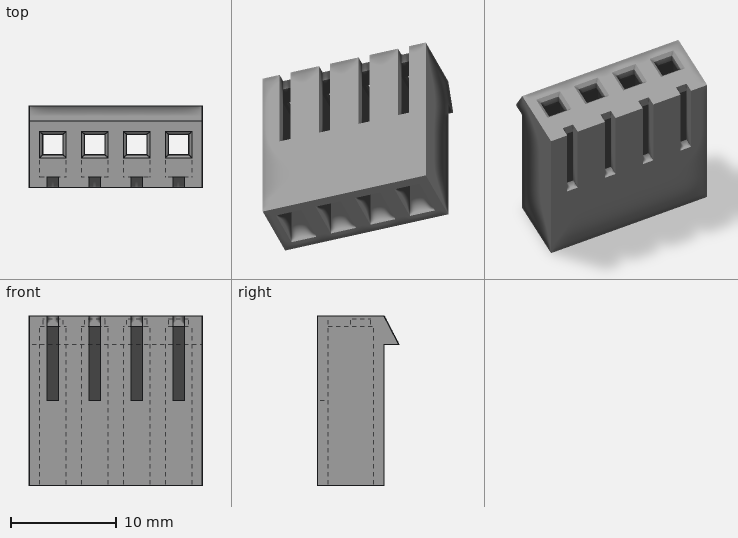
import cadquery as cq

width = 16.35
height = 16.0
total_depth = 7.7

latch_overhang = 1.4
latch_height = 2.71
body_depth = total_depth - latch_overhang

contact_count = 4
contact_pitch = 3.95
first_contact_x = -contact_pitch * (contact_count - 1) / 2

wall_thickness = 1.0

entry_size = 2.5
throat_size = 1.9
entry_depth = (entry_size - throat_size) / 2
entry_y = 4.05

slot_width = 1.1
slot_length = height / 2

cavity_width = entry_size
cavity_back_y = entry_y + entry_size / 2
cavity_height = height - wall_thickness


def make_housing():
    """Extrude the side profile, with its latch ridge, along X."""
    profile = [
        (0, 0),
        (body_depth, 0),
        (body_depth, height - latch_height),
        (total_depth, height - latch_height),
        (body_depth, height),
        (0, height),
    ]
    return cq.Workplane("YZ").polyline(profile).close().extrude(width / 2, both=True)


def make_pocket(x, pocket_width, front_y, back_y, bottom_z, top_z):
    """Box centred on x, running from front_y to back_y and bottom_z to top_z."""
    size = (pocket_width, back_y - front_y, top_z - bottom_z)
    box = cq.Workplane("XY").box(*size, centered=(True, False, False))
    return box.translate((x, front_y, bottom_z))


def make_pin_entry(x):
    """Taper from the top face down to the throat, then the throat through the roof."""
    taper = (
        cq.Workplane("XY", origin=(x, entry_y, height))
        .rect(entry_size, entry_size)
        .workplane(offset=-entry_depth)
        .rect(throat_size, throat_size)
        .loft(ruled=True)
    )
    throat_front_y = entry_y - throat_size / 2
    throat_back_y = entry_y + throat_size / 2
    throat = make_pocket(
        x, throat_size, throat_front_y, throat_back_y, cavity_height, height - entry_depth
    )
    return taper, throat


result = make_housing()
for index in range(contact_count):
    contact_x = first_contact_x + index * contact_pitch
    taper, throat = make_pin_entry(contact_x)
    cavity = make_pocket(contact_x, cavity_width, wall_thickness, cavity_back_y, 0, cavity_height)
    slot = make_pocket(contact_x, slot_width, 0, wall_thickness, height - slot_length, height)
    result = result.cut(cavity).cut(throat).cut(taper).cut(slot)